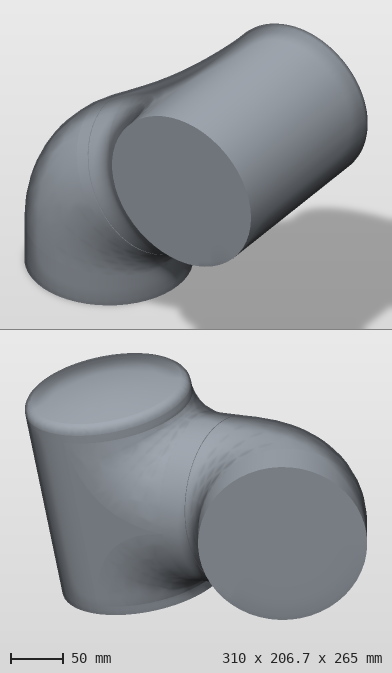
import cadquery as cq
import math

pipe_radius = 80.0
head_x = 150.0
head_z = 185.0
branch_rise = math.radians(33.75)

outer_bend_radius = 151.5
inner_bend_radius = 20.0
bend_section_count = 9

groove_distance = 124.2
saddle_distance = 95.0
groove_width = 1.0
groove_depth = 0.5
saddle_half_width = 86.7
saddle_fullness = 0.3

head_front_y = -95.7
cap_corner_y = 102.2
dome_top_y = 111.0
cap_rounding = 9.0

bend_angle = math.pi / 2 - branch_rise
corner_z = head_z - head_x * math.tan(branch_rise)
wall_offset = pipe_radius * math.tan(bend_angle / 2)
outer_tangent_z = corner_z + wall_offset - outer_bend_radius * math.tan(bend_angle / 2)
inner_tangent_z = corner_z - wall_offset - inner_bend_radius * math.tan(bend_angle / 2)

down_branch = cq.Vector(-math.cos(branch_rise), 0, -math.sin(branch_rise))
branch_plane = cq.Plane((head_x, 0, head_z), xDir=(0, 1, 0), normal=down_branch)


def wall_point(wall_x, tangent_z, bend_radius, turn):
    """Point on one wall of the bend, after it has turned by the given angle."""
    x = wall_x + bend_radius * (1 - math.cos(turn))
    z = tangent_z + bend_radius * math.sin(turn)
    return cq.Vector(x, 0, z)


def bend_section(turn):
    """Ellipse spanning the bend from its outer to its inner wall."""
    outer = wall_point(-pipe_radius, outer_tangent_z, outer_bend_radius, turn)
    inner = wall_point(pipe_radius, inner_tangent_z, inner_bend_radius, turn)
    across = inner - outer
    normal = across.cross(cq.Vector(0, 1, 0))
    return cq.Wire.makeEllipse(across.Length / 2, pipe_radius, (outer + inner) / 2, normal, across)


def inlet_and_bend():
    """Straight inlet, curved bend and the short straight run up to the groove."""
    turns = [bend_angle * i / (bend_section_count - 1) for i in range(bend_section_count)]
    sections = [bend_section(turn) for turn in turns]
    inlet_end = cq.Wire.makeCircle(pipe_radius, cq.Vector(0, 0, 0), cq.Vector(0, 0, 1))
    joint_centre = branch_plane.origin + down_branch * groove_distance
    run_end = cq.Wire.makeCircle(pipe_radius, joint_centre, -down_branch)
    inlet = cq.Solid.makeLoft([inlet_end, sections[0]], ruled=True)
    bend = cq.Solid.makeLoft(sections)
    run = cq.Solid.makeLoft([sections[-1], run_end], ruled=True)
    return cq.Workplane(inlet).union(cq.Workplane(bend)).union(cq.Workplane(run))


def branch():
    """Straight branch from the bend to the head axis, with a fine groove at its joint."""
    body = cq.Workplane(branch_plane).circle(pipe_radius).extrude(groove_distance)
    groove = (
        cq.Workplane(branch_plane)
        .workplane(offset=groove_distance - groove_width)
        .circle(pipe_radius)
        .circle(pipe_radius - groove_depth)
        .extrude(groove_width)
    )
    return body.cut(groove)


def half_disc(center, bulge):
    """Half disc whose straight side is parallel to local Y and which swells along bulge."""
    normal = bulge.cross(cq.Vector(0, 1, 0))
    arc = cq.Edge.makeEllipse(
        bulge.Length, pipe_radius, center, normal, bulge, angle1=-90, angle2=90
    )
    chord = cq.Edge.makeLine(arc.endPoint(), arc.startPoint())
    return cq.Wire.assembleEdges([arc, chord])


def saddle():
    """Concave transition from the round branch to the wider patch it covers on the head."""
    middle_centre = cq.Vector(saddle_half_width, 0, saddle_distance) * saddle_fullness
    middle_bulge = cq.Vector(pipe_radius, 0, pipe_radius) * (1 - saddle_fullness)
    start = half_disc(cq.Vector(0, 0, saddle_distance), cq.Vector(pipe_radius, 0, 0))
    middle = half_disc(middle_centre, middle_bulge)
    end = half_disc(cq.Vector(saddle_half_width, 0, 0), cq.Vector(0, 0, pipe_radius))
    flare = cq.Workplane(cq.Solid.makeLoft([start, middle, end]))

    side = flare.edges(">Y").val()
    base = cq.Edge.makeLine(
        cq.Vector(-saddle_half_width, pipe_radius, 0), cq.Vector(saddle_half_width, pipe_radius, 0)
    )
    outline = cq.Wire.assembleEdges([base, side, side.mirror("YZ")])
    core = cq.Solid.extrudeLinear(outline, [], cq.Vector(0, -2 * pipe_radius, 0))
    local = cq.Workplane(core).union(flare).union(flare.mirror("YZ"))
    return cq.Workplane(local.val().moved(cq.Location(branch_plane)))


def head():
    """Round head with a flat front and a domed, rounded cap at the back."""
    dome_rise = dome_top_y - cap_corner_y
    dome_radius = (pipe_radius**2 + dome_rise**2) / (2 * dome_rise)
    half_edge = pipe_radius / 2
    mid_y = dome_top_y - dome_radius + math.sqrt(dome_radius**2 - half_edge**2)
    body = (
        cq.Workplane("XY")
        .moveTo(0, head_front_y)
        .lineTo(pipe_radius, head_front_y)
        .lineTo(pipe_radius, cap_corner_y)
        .threePointArc((half_edge, mid_y), (0, dome_top_y))
        .close()
        .revolve(360, (0, 0), (0, 1))
    )
    rounded = body.faces("%CYLINDER").edges(">Y").fillet(cap_rounding)
    return rounded.translate((head_x, 0, head_z))


result = head().union(branch()).union(saddle()).union(inlet_and_bend())